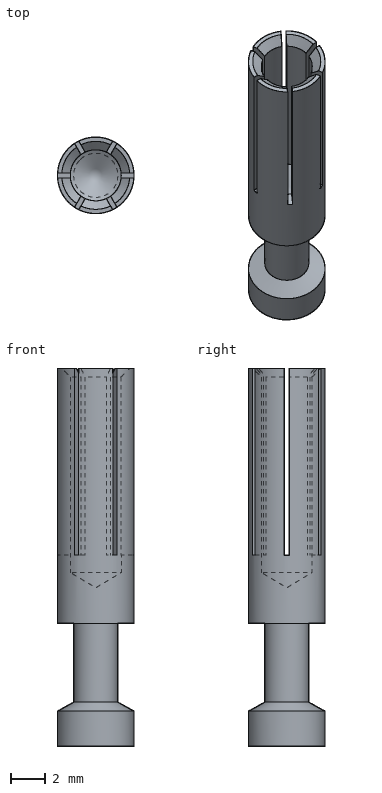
import cadquery as cq
import math

total_height = 22.2
outer_radius = 4.5 / 2
stem_radius = 2.6 / 2
head_height = 2.06
shoulder_top = 2.6
sleeve_bottom = 7.22

bore_radius = 3.0 / 2
bore_floor = 10.21
drill_point_angle = 118.0
mouth_radius = 4.0 / 2
mouth_bottom = total_height - (mouth_radius - bore_radius)
bore_tip = bore_floor - bore_radius / math.tan(math.radians(drill_point_angle / 2))

slot_width = 0.29
slot_bottom = 11.23
slot_count = 6


def revolve_about_z(profile):
    """Revolve a closed (radius, height) profile around the Z axis."""
    return cq.Workplane("XZ").polyline(profile).close().revolve(360, (0, 0), (0, 1))


def make_body():
    return revolve_about_z([
        (0, 0),
        (outer_radius, 0),
        (outer_radius, head_height),
        (stem_radius, shoulder_top),
        (stem_radius, sleeve_bottom),
        (outer_radius, sleeve_bottom),
        (outer_radius, total_height),
        (0, total_height),
    ])


def make_socket():
    return revolve_about_z([
        (0, bore_tip),
        (bore_radius, bore_floor),
        (bore_radius, mouth_bottom),
        (mouth_radius, total_height),
        (0, total_height),
    ])


def make_slot(angle):
    """Radial cutter running from the axis out past the sleeve wall."""
    slot_length = 2 * outer_radius
    slot_height = total_height - slot_bottom
    cutter = cq.Workplane("XY").box(slot_length, slot_width, slot_height, centered=(False, True, False))
    return cutter.translate((0, 0, slot_bottom)).rotate((0, 0, 0), (0, 0, 1), angle)


result = make_body().cut(make_socket())
for index in range(slot_count):
    result = result.cut(make_slot(index * 360 / slot_count))